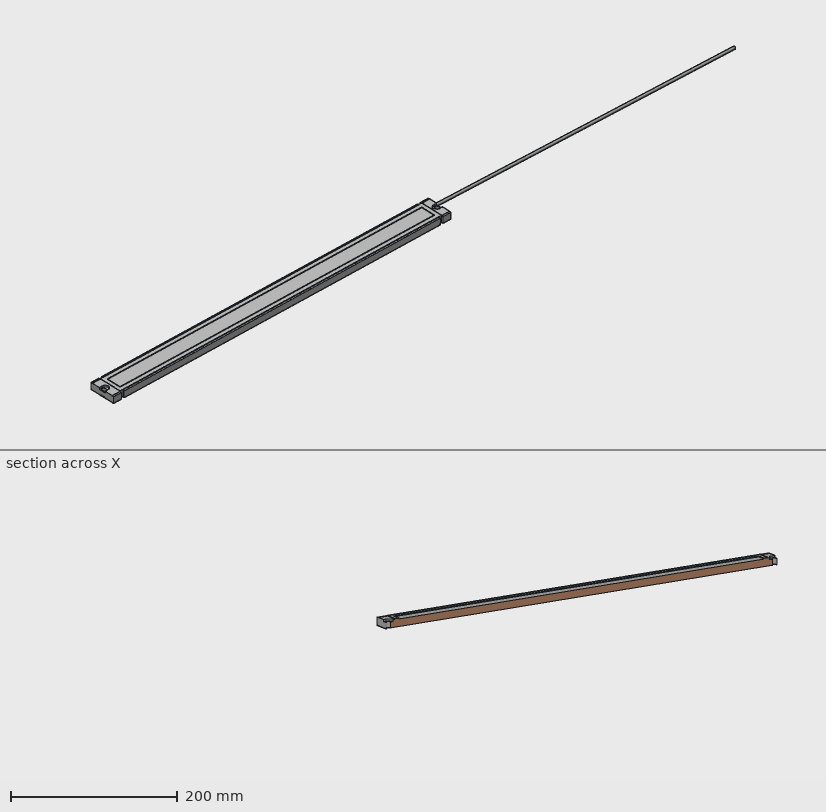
import cadquery as cq
import math

width = 40.0
height = 11.0
overall_length = 1048.01
overall_height = 17.83
bar_length = 554.4
top_z = height

core_width = 35.0
strip_drop = 1.0
strip_width = (width - core_width) / 2

cap_length = 13.0
notch_length = 4.5
cap_drop = 0.5

window_width = 22.0
window_end_margin = 19.0
window_depth = 1.0

end_wall = 1.0
hole_width = 7.5
hole_length = 5.2
recess_width = 10.0
recess_length = 10.2
recess_depth = 3.0

cable_diameter = 4.35
cable_x = -9.5
cable_drop_angle = math.radians(1.0)
cable_embed = 5.0


def make_bar():
    return cq.Workplane("XY").box(width, bar_length, height, centered=(True, True, False))


def make_strip_cut(side):
    x = side * (width - strip_width) / 2
    return cq.Workplane("XY").box(strip_width, bar_length, 2 * strip_drop).translate((x, 0, top_z))


def make_notch(side, end):
    x = side * (width - strip_width) / 2
    y = end * (bar_length / 2 - cap_length - notch_length / 2)
    return cq.Workplane("XY").box(strip_width, notch_length, 2 * height).translate((x, y, 0))


def make_cap_step(end):
    y = end * (bar_length / 2 - cap_length / 2)
    return cq.Workplane("XY").box(width, cap_length, 2 * cap_drop).translate((0, y, top_z))


def make_window():
    length = bar_length - 2 * window_end_margin
    return cq.Workplane("XY").box(window_width, length, 2 * window_depth).translate((0, 0, top_z))


def make_recess(end):
    half_width = recess_width / 2
    arc_centre_y = bar_length / 2 - recess_length + half_width
    outline = (
        cq.Workplane("XY")
        .workplane(offset=top_z - recess_depth)
        .moveTo(-half_width, bar_length / 2)
        .lineTo(-half_width, arc_centre_y)
        .threePointArc((0, arc_centre_y - half_width), (half_width, arc_centre_y))
        .lineTo(half_width, bar_length / 2)
        .close()
    )
    recess = outline.extrude(recess_depth)
    if end < 0:
        recess = recess.mirror("XZ")
    return recess


def make_hole(end):
    y = end * (bar_length / 2 - end_wall - hole_length / 2)
    return cq.Workplane("XY").center(0, y).slot2D(hole_width, hole_length).extrude(height)


def make_cable():
    radius = cable_diameter / 2
    rise = math.sin(cable_drop_angle)
    run = math.cos(cable_drop_angle)
    far_y = overall_length - bar_length / 2 - radius * rise
    far_z = top_z - overall_height + radius * run
    length = (far_y - bar_length / 2) / run + cable_embed
    far_end = cq.Vector(cable_x, far_y, far_z)
    return cq.Workplane(obj=cq.Solid.makeCylinder(radius, length, far_end, cq.Vector(0, -run, rise)))


result = make_bar().cut(make_window())
for end in (-1, 1):
    result = result.cut(make_cap_step(end))
    result = result.cut(make_recess(end))
    result = result.cut(make_hole(end))
for side in (-1, 1):
    result = result.cut(make_strip_cut(side))
    for end in (-1, 1):
        result = result.cut(make_notch(side, end))
result = result.union(make_cable())